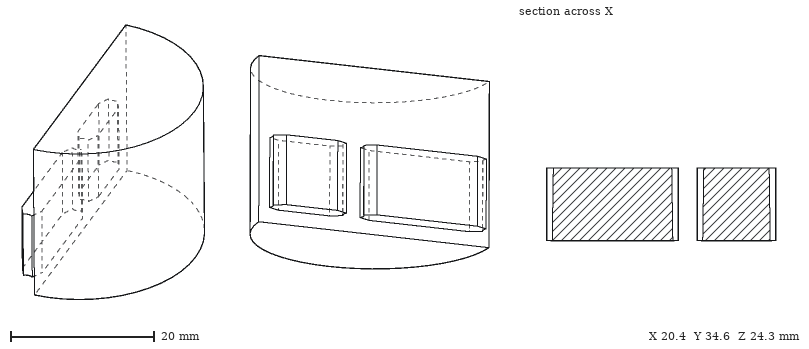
import cadquery as cq

body_radius = 17.3
body_height = 24.15
tilt_angle = 0.43

tab_depth = 3.0
tab_height = 10.15
tab_base_height = 2.0
tip_length = 1.65
tip_width = 1.33
groove_depth = 0.2
tab_edge_margin = 1.3
tab_gap = 2.6
short_tab_length = 11.0
long_tab_length = 2 * (body_radius - tab_edge_margin) - short_tab_length - tab_gap


def make_body():
    return (
        cq.Workplane("XY")
        .moveTo(0, -body_radius)
        .threePointArc((body_radius, 0), (0, body_radius))
        .close()
        .extrude(body_height)
    )


def make_tab(y_min, length):
    """Bar along Y with tapered, hollow-tipped ends, its inner face on the flat side."""
    y_max = y_min + length
    outer_x = -tab_depth
    middle_x = -tab_depth / 2
    outer_tip_x = middle_x - tip_width / 2
    inner_tip_x = middle_x + tip_width / 2
    return (
        cq.Workplane("XY", origin=(0, 0, tab_base_height))
        .moveTo(outer_x, y_min + tip_length)
        .lineTo(outer_tip_x, y_min)
        .threePointArc((middle_x, y_min + groove_depth), (inner_tip_x, y_min))
        .lineTo(0, y_min + tip_length)
        .lineTo(0, y_max - tip_length)
        .lineTo(inner_tip_x, y_max)
        .threePointArc((middle_x, y_max - groove_depth), (outer_tip_x, y_max))
        .lineTo(outer_x, y_max - tip_length)
        .close()
        .extrude(tab_height)
    )


long_tab_start = -body_radius + tab_edge_margin
short_tab_start = long_tab_start + long_tab_length + tab_gap

upright_part = (
    make_body()
    .union(make_tab(long_tab_start, long_tab_length))
    .union(make_tab(short_tab_start, short_tab_length))
)
result = upright_part.rotate((0, 0, 0), (0, 1, 0), -tilt_angle)